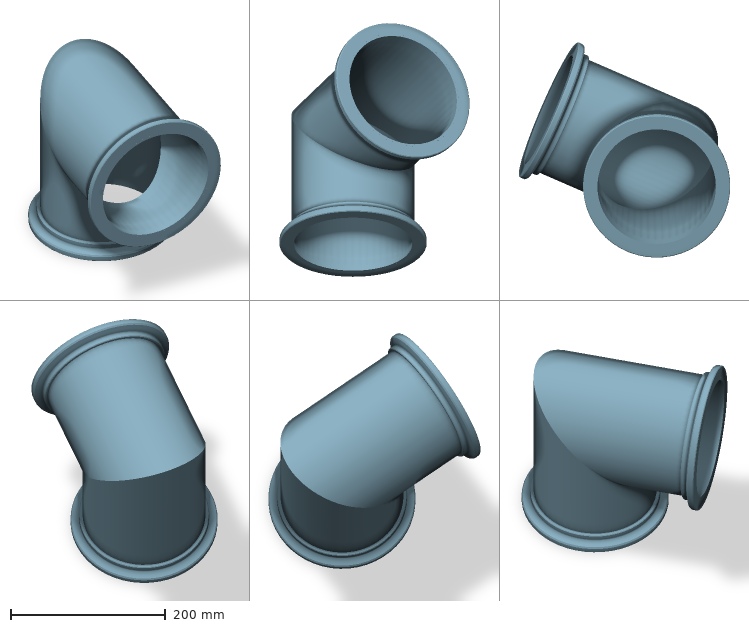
import cadquery as cq

LEG_LENGTH = 153.0
PIPE_DIAMETER = 159.0
BORE_DIAMETER = 153.0

RIM_DIAMETER = 190.0
COLLAR_DIAMETER = 168.0
FLANGE_HEIGHT = 20.0
RIM_TOP = 8.5
SHOULDER_TOP = 12.5
RIM_CHAMFER = 1.5
COLLAR_FOOT_FILLET = 1.0
END_CHAMFER = 1.0

PIPE_RADIUS = PIPE_DIAMETER / 2
BORE_RADIUS = BORE_DIAMETER / 2
RIM_RADIUS = RIM_DIAMETER / 2
COLLAR_RADIUS = COLLAR_DIAMETER / 2

SMALLEST_CIRCLE = cq.selectors.RadiusNthSelector(0)
LARGEST_CIRCLE = cq.selectors.RadiusNthSelector(-1)


def mitred_bend(radius):
    """Solid round bend: each leg is cut off on the 45 degree plane through the corner."""
    reach = LEG_LENGTH + radius
    down_leg = cq.Workplane("XY").workplane(offset=-LEG_LENGTH).circle(radius).extrude(reach)
    side_leg = cq.Workplane("YZ").workplane(offset=-radius).circle(radius).extrude(reach)
    below_mitre = (
        cq.Workplane("XZ")
        .polyline([(-reach, reach), (-reach, -reach), (reach, -reach)])
        .close()
        .extrude(reach, both=True)
    )
    return down_leg.intersect(below_mitre).union(side_leg.cut(below_mitre), clean=False)


def make_elbow():
    """Hollow elbow whose pipe ends are flush with the flange faces."""
    return mitred_bend(PIPE_RADIUS).cut(mitred_bend(BORE_RADIUS))


def make_flange():
    """Flange ring around the Z axis with its face on Z = 0 and its collar upward."""
    profile = (
        cq.Workplane("XZ")
        .moveTo(PIPE_RADIUS, 0)
        .lineTo(RIM_RADIUS, 0)
        .lineTo(RIM_RADIUS, RIM_TOP)
        .lineTo(COLLAR_RADIUS, SHOULDER_TOP)
        .lineTo(COLLAR_RADIUS, FLANGE_HEIGHT)
        .lineTo(PIPE_RADIUS, FLANGE_HEIGHT)
        .close()
    )
    ring = profile.revolve(360, (0, 0, 0), (0, 1, 0))
    ring = ring.faces("%CONE").edges(SMALLEST_CIRCLE).fillet(COLLAR_FOOT_FILLET)
    ring = ring.faces("%CONE").edges(LARGEST_CIRCLE).chamfer(RIM_CHAMFER)
    for flat_end in (">Z", "<Z"):
        ring = ring.faces(flat_end).edges(LARGEST_CIRCLE).chamfer(END_CHAMFER)
    return ring


elbow = make_elbow()
bottom_flange = make_flange().translate((0, 0, -LEG_LENGTH))
side_flange = make_flange().rotate((0, 0, 0), (0, 1, 0), -90).translate((LEG_LENGTH, 0, 0))

result = cq.Compound.makeCompound([*elbow.solids().vals(), bottom_flange.val(), side_flange.val()])